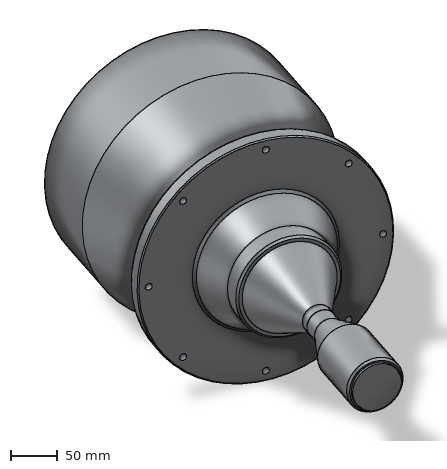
import cadquery as cq


HEAD_RADIUS = 150.0
HEAD_LENGTH = 99.5
HEAD_CONE_END = 222.0
HEAD_CONE_END_RADIUS = 105.5

COLLAR_RADIUS = 106.2
COLLAR_CHAMFER = 1.0
COLLAR_FILLET = 2.5

FLANGE_START = 226.8
FLANGE_THICKNESS = 18.2
FLANGE_RADIUS = 150.0
FLANGE_CHAMFER = 1.5
HOLE_COUNT = 8
HOLE_CIRCLE_RADIUS = 137.0
HOLE_DIAMETER = 8.0

LEAD_IN_RADIUS = 86.0
LEAD_IN_LENGTH = 2.8
MIDDLE_CONE_RADIUS = 82.5

BAND_START = 283.4
BAND_END = 307.5
BAND_RADIUS = 62.0
BAND_CHAMFER = 2.5

REAR_CONE_RADIUS = 55.5
NECK_START = 379.0

NECK_RADIUS = 17.0
NECK_RING_RADIUS = 17.3
NECK_RING_START = 382.0
NECK_RING_END = 391.5
NECK_END = 411.0

HANDLE_RADIUS = 33.0
HANDLE_START = 455.0
HANDLE_END = 533.7
HANDLE_CHAMFER = 2.5
STUB_RADIUS = 28.5
TOTAL_LENGTH = 537.1


def turned_body():
    flange_end = FLANGE_START + FLANGE_THICKNESS
    fillet_start = (FLANGE_START - COLLAR_FILLET, COLLAR_RADIUS)
    fillet_end = (FLANGE_START, COLLAR_RADIUS + COLLAR_FILLET)
    head_profile = [
        (0, 0),
        (0, HEAD_RADIUS),
        (HEAD_LENGTH, HEAD_RADIUS),
        (HEAD_CONE_END, HEAD_CONE_END_RADIUS),
        (HEAD_CONE_END + COLLAR_CHAMFER, COLLAR_RADIUS),
        fillet_start,
    ]
    rear_profile = [
        fillet_end,
        (FLANGE_START, FLANGE_RADIUS - FLANGE_CHAMFER),
        (FLANGE_START + FLANGE_CHAMFER, FLANGE_RADIUS),
        (flange_end - FLANGE_CHAMFER, FLANGE_RADIUS),
        (flange_end, FLANGE_RADIUS - FLANGE_CHAMFER),
        (flange_end, LEAD_IN_RADIUS),
        (flange_end + LEAD_IN_LENGTH, MIDDLE_CONE_RADIUS),
        (BAND_START, BAND_RADIUS),
        (BAND_END - BAND_CHAMFER, BAND_RADIUS),
        (BAND_END, BAND_RADIUS - BAND_CHAMFER),
        (BAND_END, REAR_CONE_RADIUS),
        (NECK_START, NECK_RADIUS),
        (NECK_RING_START, NECK_RING_RADIUS),
        (NECK_RING_END, NECK_RING_RADIUS),
        (NECK_RING_END, NECK_RADIUS),
        (NECK_END, NECK_RADIUS),
        (HANDLE_START, HANDLE_RADIUS),
        (HANDLE_END - HANDLE_CHAMFER, HANDLE_RADIUS),
        (HANDLE_END, HANDLE_RADIUS - HANDLE_CHAMFER),
        (HANDLE_END, STUB_RADIUS),
        (TOTAL_LENGTH, STUB_RADIUS),
        (TOTAL_LENGTH, 0),
    ]
    profile = (
        cq.Workplane("XZ")
        .polyline(head_profile)
        .tangentArcPoint(fillet_end, relative=False)
        .polyline(rear_profile)
        .close()
    )
    return profile.revolve(360, (0, 0, 0), (1, 0, 0))


def flange_holes():
    return (
        cq.Workplane("YZ", origin=(FLANGE_START, 0, 0))
        .polarArray(HOLE_CIRCLE_RADIUS, 0, 360, HOLE_COUNT)
        .circle(HOLE_DIAMETER / 2)
        .extrude(FLANGE_THICKNESS)
    )


result = turned_body().cut(flange_holes())